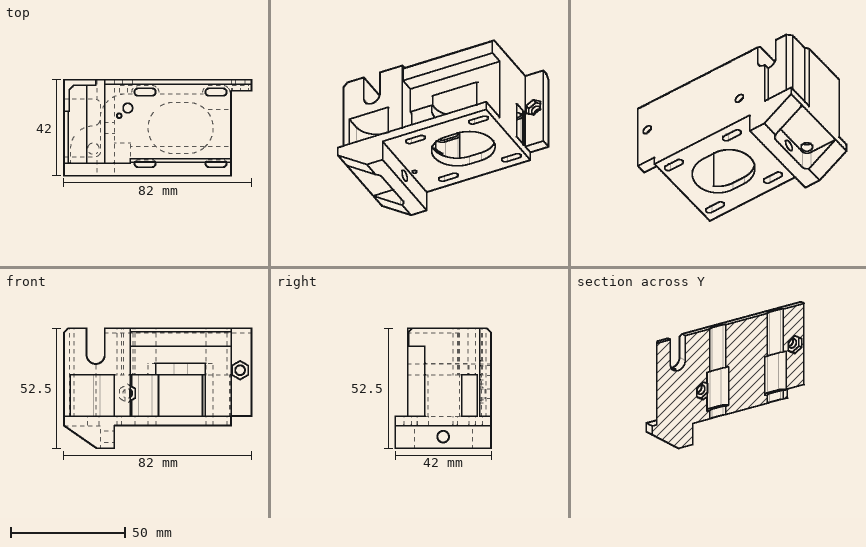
import cadquery as cq
import math

LENGTH = 82.0
BODY_LENGTH = 73.1
DEPTH = 42.0
HEIGHT = 52.5
WEDGE_TOP = 9.9
PLATE_TOP = WEDGE_TOP + 4.2
CEILING = 32.15
MID_Y = DEPTH / 2
EDGE_CHAMFER = 2.0

BLOCK_FRONT = 5.5
BLOCK_END_X = 29.0
TOP_FLANGE_FRONT = 6.0
TOP_FLANGE_BOTTOM = 44.5
TOP_FLANGE_CHAMFER = 1.55
POST_FRONT = 12.95
POST_BACK = DEPTH - POST_FRONT
FRONT_POST_X = 22.05
FRONT_POST_BACK = 14.35
BACK_FLANGE_FRONT = 37.1

CORNER_BACK = 39.5
CORNER_LENGTH = 14.0
CORNER_STEP_X = 2.4
CORNER_STEP_Y = 28.1

ROD_DIAMETER = 7.9
ROD_X = 13.9
ROD_Z = 40.8

SCREW_X = 12.8
SCREW_Y = 12.0
SCREW_DIAMETER = 5.0
FRONT_ROUND = 9.9
NOSE_ROUND = 2.95
BACK_ROUND = 11.0
CHAMBER_BACK = SCREW_Y + FRONT_ROUND + NOSE_ROUND + BACK_ROUND

MOTOR_X = 50.9
MOTOR_RADIUS = 11.2
MOTOR_TRAVEL = 6.0
MOTOR_RECESS_TOP = 37.15

SLOT_X = (35.5, 66.5)
SLOT_EDGE_DISTANCE = 5.4
SLOT_WIDTH = 3.2
SLOT_LENGTH = SLOT_WIDTH + MOTOR_TRAVEL
HEAD_WIDTH = 5.9
HEAD_LENGTH = HEAD_WIDTH + MOTOR_TRAVEL

PIN_X, PIN_Y, PIN_DIAMETER = 24.2, 26.2, 2.0
TOP_HOLE_X, TOP_HOLE_Y = 28.0, 29.6
BOLT_DIAMETER = 4.2
NUT_ACROSS_FLATS = 7.05
NUT_FLOOR_Y = CORNER_BACK
BOLT_CENTRES = ((27.7, 24.0), (77.0, 34.1))

WEDGE_LENGTH = FRONT_POST_X
WEDGE_TIP_X = 14.35
NOTCH_END_X = 16.0
NOTCH_WIDTH = 25.25
NOTCH_RADIUS = 2.6
WEDGE_HOLE_Z = 5.1


def box(x0, x1, y0, y1, z0, z1):
    return cq.Workplane("XY").box(x1 - x0, y1 - y0, z1 - z0, centered=False).translate((x0, y0, z0))


def upright_slot(x, y, length, width, z0, z1):
    """A long hole along X between two heights."""
    return cq.Workplane("XY", origin=(x, y, z0)).slot2D(length, width).extrude(z1 - z0)


def upright_hole(x, y, diameter, z0, z1):
    return cq.Workplane("XY", origin=(x, y, z0)).circle(diameter / 2).extrude(z1 - z0)


def wedge():
    profile = [(0, WEDGE_TOP), (WEDGE_TIP_X, 0), (WEDGE_LENGTH, 0), (WEDGE_LENGTH, WEDGE_TOP)]
    body = cq.Workplane("XZ").polyline(profile).close().extrude(-DEPTH)
    notch = box(
        -NOTCH_END_X, NOTCH_END_X, MID_Y - NOTCH_WIDTH / 2, MID_Y + NOTCH_WIDTH / 2, 0, WEDGE_TOP
    )
    notch = notch.edges("|Z").fillet(NOTCH_RADIUS)
    hole = cq.Workplane("YZ", origin=(0, MID_Y, WEDGE_HOLE_Z)).circle(SCREW_DIAMETER / 2)
    return body.cut(notch).cut(hole.extrude(WEDGE_LENGTH))


def top_flange():
    flange = box(BLOCK_END_X, BODY_LENGTH, TOP_FLANGE_FRONT, DEPTH, TOP_FLANGE_BOTTOM, HEIGHT)
    return flange.edges("<Y and >Z").chamfer(TOP_FLANGE_CHAMFER)


def left_block():
    block = box(0, BLOCK_END_X, BLOCK_FRONT, DEPTH, PLATE_TOP, HEIGHT)
    return block.edges("<X and >Z").chamfer(EDGE_CHAMFER)


def back_left_corner():
    """Cutter that steps the back left corner in, leaving a chamfered upright edge."""
    outline = [
        (0, CORNER_STEP_Y),
        (CORNER_STEP_X, CORNER_STEP_Y),
        (CORNER_STEP_X, CORNER_BACK - EDGE_CHAMFER),
        (CORNER_STEP_X + EDGE_CHAMFER, CORNER_BACK),
        (CORNER_LENGTH, CORNER_BACK),
        (CORNER_LENGTH, DEPTH),
        (0, DEPTH),
    ]
    cutter = cq.Workplane("XY", origin=(0, 0, PLATE_TOP)).polyline(outline).close()
    return cutter.extrude(HEIGHT - PLATE_TOP)


def rod_slot():
    bore = cq.Workplane("XZ", origin=(ROD_X, 0, ROD_Z)).circle(ROD_DIAMETER / 2).extrude(-DEPTH)
    radius = ROD_DIAMETER / 2
    return bore.union(box(ROD_X - radius, ROD_X + radius, 0, DEPTH, ROD_Z, HEIGHT))


def point_on_circle(centre, radius, degrees):
    angle = math.radians(degrees)
    return (centre[0] + radius * math.cos(angle), centre[1] + radius * math.sin(angle))


def gear_chamber():
    """Room between plate and ceiling: two hollow corners joined by a tangent rounded nose."""
    front_corner = (SCREW_X, SCREW_Y)
    nose = (SCREW_X, SCREW_Y + FRONT_ROUND + NOSE_ROUND)
    back_corner = (SCREW_X + NOSE_ROUND + BACK_ROUND, nose[1])
    outline = (
        cq.Workplane("XY", origin=(0, 0, PLATE_TOP))
        .moveTo(SCREW_X - FRONT_ROUND, 0)
        .lineTo(SCREW_X - FRONT_ROUND, SCREW_Y)
        .threePointArc(
            point_on_circle(front_corner, FRONT_ROUND, 135),
            point_on_circle(front_corner, FRONT_ROUND, 90),
        )
        .threePointArc(point_on_circle(nose, NOSE_ROUND, -45), point_on_circle(nose, NOSE_ROUND, 0))
        .threePointArc(
            point_on_circle(back_corner, BACK_ROUND, 135), point_on_circle(back_corner, BACK_ROUND, 90)
        )
        .lineTo(BODY_LENGTH, CHAMBER_BACK)
        .lineTo(BODY_LENGTH, 0)
        .close()
    )
    front_post = box(FRONT_POST_X, BLOCK_END_X, BLOCK_FRONT, FRONT_POST_BACK, PLATE_TOP, CEILING)
    right_post = box(MOTOR_X, BODY_LENGTH, POST_FRONT, POST_BACK, PLATE_TOP, CEILING)
    return outline.extrude(CEILING - PLATE_TOP).cut(front_post).cut(right_post)


def nut_and_bolt_hole(x, z):
    """Bolt hole along Y with a hexagonal nut pocket open to the front."""
    plane = cq.Workplane("XZ", origin=(x, CHAMBER_BACK, z))
    bolt = plane.circle(BOLT_DIAMETER / 2).extrude(CHAMBER_BACK - DEPTH)
    across_corners = NUT_ACROSS_FLATS / math.cos(math.pi / 6)
    hexagon = plane.transformed(rotate=(0, 0, 90)).polygon(6, across_corners)
    return bolt.union(hexagon.extrude(CHAMBER_BACK - NUT_FLOOR_Y))


plate = box(0, BODY_LENGTH, 0, DEPTH, WEDGE_TOP, PLATE_TOP)
main_block = box(BLOCK_END_X, BODY_LENGTH, POST_FRONT, DEPTH, PLATE_TOP, HEIGHT)
back_flange = box(BODY_LENGTH, LENGTH, BACK_FLANGE_FRONT, DEPTH, PLATE_TOP, HEIGHT)
result = left_block().union(main_block).union(back_flange).union(top_flange())
result = result.edges(">Y and >Z").chamfer(EDGE_CHAMFER)
result = result.union(plate).union(wedge())

result = result.cut(back_left_corner()).cut(rod_slot()).cut(gear_chamber())
motor_length = MOTOR_TRAVEL + 2 * MOTOR_RADIUS
result = result.cut(
    upright_slot(MOTOR_X, MID_Y, motor_length, 2 * MOTOR_RADIUS, WEDGE_TOP, MOTOR_RECESS_TOP)
)

back_slot_y = DEPTH - SLOT_EDGE_DISTANCE
for slot_x in SLOT_X:
    for slot_y, slot_top in ((SLOT_EDGE_DISTANCE, PLATE_TOP), (back_slot_y, HEIGHT)):
        result = result.cut(
            upright_slot(slot_x, slot_y, SLOT_LENGTH, SLOT_WIDTH, WEDGE_TOP, slot_top)
        )
    result = result.cut(
        upright_slot(slot_x, back_slot_y, HEAD_LENGTH, HEAD_WIDTH, PLATE_TOP, CEILING)
    )

result = result.cut(upright_hole(PIN_X, PIN_Y, PIN_DIAMETER, WEDGE_TOP, HEIGHT))
result = result.cut(upright_hole(TOP_HOLE_X, TOP_HOLE_Y, BOLT_DIAMETER, PLATE_TOP, HEIGHT))
result = result.cut(upright_hole(SCREW_X, SCREW_Y, SCREW_DIAMETER, WEDGE_TOP, PLATE_TOP))
for bolt_x, bolt_z in BOLT_CENTRES:
    result = result.cut(nut_and_bolt_hole(bolt_x, bolt_z))